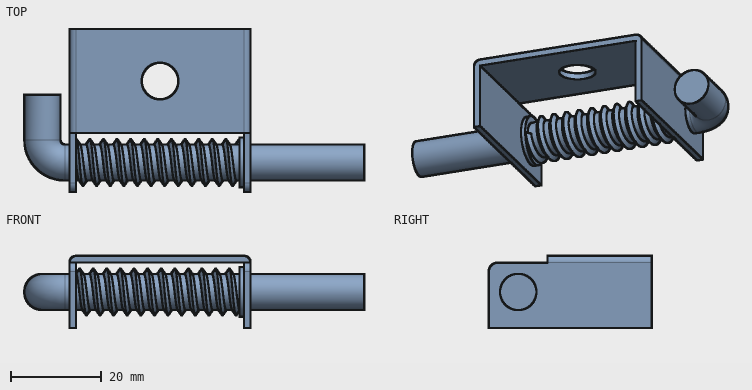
import cadquery as cq
import math


overall_length = 75.0
pin_diameter = 8.0
handle_overhang = 10.0
handle_straight = 10.0
bend_outer_radius = 9.0

bracket_length = 40.0
bracket_depth = 36.0
bracket_height = 16.0
sheet = 1.5
plate_depth = 23.0
flange_corner_radius = 2.0
mounting_hole_diameter = 8.0
axis_to_front = 6.5

washer_diameter = 11.0
washer_thickness = 1.0

spring_pitch = 3.0
spring_outer_radius = 5.2
wire_base_width = 1.65
bore_overlap = 0.15

pin_radius = pin_diameter / 2
bend_radius = bend_outer_radius - pin_radius
bracket_front = -axis_to_front
bracket_back = bracket_front + bracket_depth
bracket_top = bracket_height / 2
bracket_bottom = -bracket_height / 2
plate_front = bracket_back - plate_depth
spring_start = sheet
washer_start = bracket_length - sheet - washer_thickness
spring_length = washer_start - spring_start


def cylinder_along_x(radius, start, length):
    return cq.Workplane("YZ", origin=(start, 0, 0)).circle(radius).extrude(length)


def make_flange(start):
    """Side flange with a rounded top front corner and a bore for the pin."""
    flange = (
        cq.Workplane("XY", origin=(start, bracket_front, bracket_bottom))
        .box(sheet, bracket_depth, bracket_height - sheet, centered=False)
        .edges("|X and <Y and >Z")
        .fillet(flange_corner_radius)
    )
    return flange.cut(cylinder_along_x(pin_radius, start, sheet))


def make_bracket():
    """Bent sheet bracket: a top plate with a mounting hole and two flanges."""
    bracket = (
        cq.Workplane("XY", origin=(0, plate_front, bracket_top - sheet))
        .box(bracket_length, plate_depth, sheet, centered=False)
    )
    for start in (0, bracket_length - sheet):
        bracket = bracket.union(make_flange(start))
    bracket = bracket.edges("|Y and >Z").fillet(sheet)
    hole_y = plate_front + plate_depth / 2
    mounting_hole = (
        cq.Workplane("XY", origin=(bracket_length / 2, hole_y, bracket_top - sheet))
        .circle(mounting_hole_diameter / 2)
        .extrude(sheet)
    )
    return bracket.cut(mounting_hole)


def make_pin():
    """Round bar bent through a right angle into a handle toward +Y."""
    handle_x = pin_radius - handle_overhang
    bend_end_x = handle_x + bend_radius
    handle_end_y = bend_radius + handle_straight
    diagonal = bend_radius * math.sqrt(0.5)
    shaft_end_x = overall_length - handle_overhang
    centerline = (
        cq.Workplane("XY")
        .moveTo(shaft_end_x, 0)
        .lineTo(bend_end_x, 0)
        .threePointArc((bend_end_x - diagonal, bend_radius - diagonal), (handle_x, bend_radius))
        .lineTo(handle_x, handle_end_y)
    )
    return (
        cq.Workplane("YZ", origin=(shaft_end_x, 0, 0))
        .circle(pin_radius)
        .sweep(centerline)
    )


def make_washer():
    """Plain washer between the spring and the right flange."""
    washer = cylinder_along_x(washer_diameter / 2, washer_start, washer_thickness)
    return washer.cut(cylinder_along_x(pin_radius, washer_start, washer_thickness))


def make_spring():
    """V-section coil seated on the pin, its ends ground flat on the flange and washer."""
    slope = wire_base_width / 2 / (spring_outer_radius - pin_radius)
    root_radius = pin_radius - bore_overlap
    root_half_width = slope * (spring_outer_radius - root_radius)
    helix = cq.Wire.makeHelix(spring_pitch, spring_length, pin_radius)
    coil = (
        cq.Workplane("XZ")
        .moveTo(root_radius, -root_half_width)
        .lineTo(spring_outer_radius, 0)
        .lineTo(root_radius, root_half_width)
        .close()
        .sweep(cq.Workplane(helix), isFrenet=True)
    )
    coil = (
        coil.rotate((0, 0, 0), (0, 1, 0), 90)
        .rotate((0, 0, 0), (1, 0, 0), 90)
        .translate((spring_start, 0, 0))
    )
    envelope = cylinder_along_x(washer_diameter / 2, spring_start, spring_length)
    bore = cylinder_along_x(pin_radius, spring_start, spring_length)
    return coil.intersect(envelope.cut(bore))


bracket = make_bracket()
pin = make_pin()
washer = make_washer()
spring = make_spring()

result = cq.Compound.makeCompound([
    bracket.solids().val(),
    pin.solids().val(),
    washer.solids().val(),
    spring.solids().val(),
])